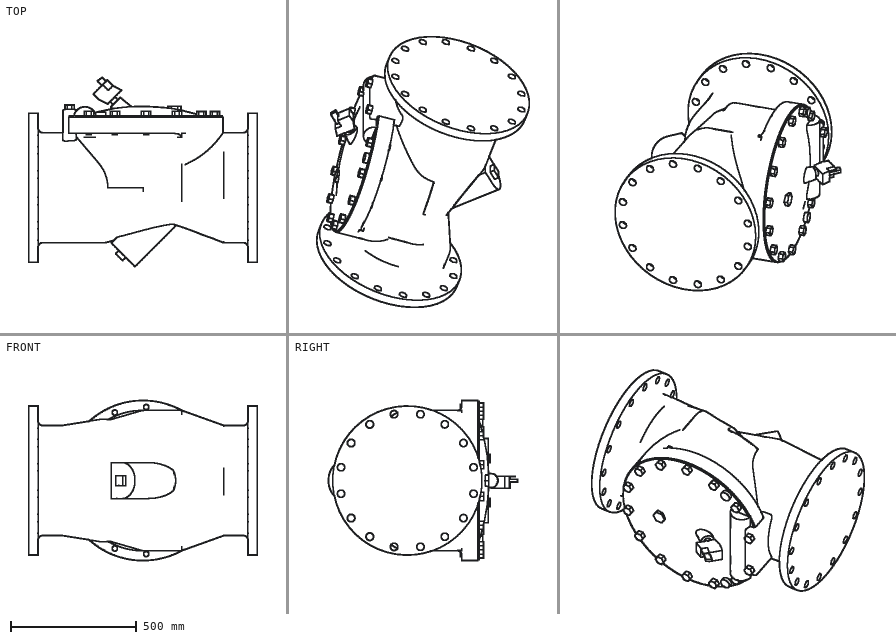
import cadquery as cq
import math


overall_length = 914.4
pipe_radius = 220.5
pipe_flange_radius = 298.5
pipe_flange_thickness = 38.0
pipe_flange_fillet = 18.0
pipe_bolt_circle_radius = 270.0
pipe_bolt_count = 16
pipe_bolt_hole_diameter = 29.0
half_length = overall_length / 2

taper_start_x = 323.0
inlet_belt_start = -168.0
inlet_belt_end = -152.0
inlet_half_height = 245.0
inlet_tip_x = 150.0
inlet_tip_half_width = 140.0
inlet_tip_half_height = 200.0
outlet_depth = 157.5
outlet_half_height = 281.0
outlet_middle_depth = 104.0
outlet_tip_x = -150.0
outlet_tip_depth = 2.0
outlet_side_y = 76.0
ledge_fillet = 12.0

cover_flange_radius = 641.17 / 2
cover_flange_bottom = 217.0
cover_flange_top = 281.5
cover_radius = 317.5
cover_top = 287.0
dome_radius = 240.0
dome_top = 326.0
neck_fillet = 15.0
neck_corner_radius = 57.0
cover_bolt_circle_radius = 294.0
cover_bolt_pitch = 25.0
cover_bolts_per_side = 6
cover_bolt_shank_diameter = 21.0
cover_bolt_protrusion = 6.0
bolt_head_diameter = 38.0
bolt_head_height = 18.0
jack_boss_angle = 125.0
jack_boss_radius = 20.0
jack_boss_height = 15.0
dome_plug_x = 126.0
dome_plug_diameter = 53.0
dome_plug_bottom = 310.0

hinge_x = -232.0
hinge_y = 279.0
hinge_radius = 45.0
hinge_half_length = 169.0
block_width = 54.0
block_half_height = 119.0
block_bottom = 150.0
block_top = 313.0
block_corner_radius = 12.0
block_rim_radius = 8.0
block_bolt_z = 88.0

stub_radius = 72.0
stub_lowest_y = -315.56
stub_face_x = -83.0
stub_length = 230.0
stub_web = 62.0
drain_plug_side = 40.0
drain_plug_height = 18.0

indicator_x = -90.0
indicator_y = 322.0
indicator_base_start = -30.0
indicator_base_end = 28.0
indicator_base_radius = 33.0
indicator_base_top_radius = 27.0
indicator_neck_radius = 14.0
indicator_shoulder = 45.0
indicator_box_start = 82.0
indicator_box_end = 114.0
indicator_box_half_width = 40.0
indicator_shoulder_right = 51.0
indicator_shoulder_left = 27.0
indicator_bottom_z = -31.0
indicator_depth = 49.0
indicator_lid_thickness = 2.0
indicator_case_right = 13.0
tab_left = 8.5
tab_right = 33.0
tab_end_drop = 5.0
tab_thickness = 12.0
highest_y = stub_lowest_y + 756.66

diagonal = math.sqrt(0.5)


def along_x(x, y=0.0):
    """Section plane across the pipe: local x is Y, local y is Z."""
    return cq.Workplane(cq.Plane((x, y, 0), (0, 1, 0), (1, 0, 0)))


def along_y(y, x=0.0, z=0.0):
    """Plane facing +Y: local x is X, local y is -Z."""
    return cq.Workplane(cq.Plane((x, y, z), (1, 0, 0), (0, 1, 0)))


def elliptic_loft(*sections):
    """Straight-sided loft through sections (x, half width in Y, half height in Z, centre Y)."""
    wires = []
    for x, half_width, half_height, centre_y in sections:
        outline = along_x(x, centre_y).ellipse(half_width, half_height)
        wires.append(outline.wire().wires().val())
    return cq.Workplane(cq.Solid.makeLoft(wires, True))


def pipe_end(side):
    """Pipe and bolted flange with a concave fillet, on the -X (side=-1) or +X (side=1) end."""
    flange_back = half_length - pipe_flange_thickness
    fillet_start = flange_back - pipe_flange_fillet
    fillet_centre_radius = pipe_radius + pipe_flange_fillet
    profile = (
        cq.Workplane("XY")
        .moveTo(side * taper_start_x, 0)
        .lineTo(side * taper_start_x, pipe_radius)
        .lineTo(side * fillet_start, pipe_radius)
        .threePointArc(
            (
                side * (fillet_start + pipe_flange_fillet * diagonal),
                fillet_centre_radius - pipe_flange_fillet * diagonal,
            ),
            (side * flange_back, fillet_centre_radius),
        )
        .lineTo(side * flange_back, pipe_flange_radius)
        .lineTo(side * half_length, pipe_flange_radius)
        .lineTo(side * half_length, 0)
        .close()
    )
    body = profile.revolve(360, (0, 0, 0), (1, 0, 0))
    holes = (
        along_x(side * half_length)
        .polarArray(pipe_bolt_circle_radius, 180 / pipe_bolt_count, 360, pipe_bolt_count)
        .circle(pipe_bolt_hole_diameter / 2)
        .extrude(-side * pipe_flange_thickness)
    )
    return body.cut(holes)


def inlet_chamber():
    return elliptic_loft(
        (-taper_start_x, pipe_radius, pipe_radius, 0),
        (inlet_belt_start, pipe_radius, inlet_half_height, 0),
        (inlet_belt_end, pipe_radius, inlet_half_height, 0),
        (inlet_tip_x, inlet_tip_half_width, inlet_tip_half_height, 0),
    )


def outlet_taper_start():
    """X where the flat sides of the outlet chamber meet the cover flange cylinder."""
    return math.sqrt(cover_flange_radius**2 - outlet_half_height**2)


def outlet_chamber():
    start_x = outlet_taper_start()
    tip_half_height = math.sqrt(outlet_half_height**2 - outlet_tip_x**2)
    pipe = (taper_start_x, pipe_radius, pipe_radius, 0)
    lower = elliptic_loft(
        (outlet_tip_x, outlet_tip_depth, tip_half_height, 0),
        (0, outlet_middle_depth, outlet_half_height, 0),
        (start_x, outlet_depth, outlet_half_height, 0),
        pipe,
    )
    upper_half_width = pipe_radius - outlet_side_y
    upper_taper = elliptic_loft((start_x, upper_half_width, outlet_half_height, outlet_side_y), pipe)
    wedge = (
        cq.Workplane("XY")
        .polyline([(start_x, 0), (taper_start_x, 0), (start_x, outlet_side_y)])
        .close()
        .extrude(outlet_half_height, both=True)
    )
    wedge_sides = (
        along_y(0)
        .polyline([
            (start_x, -outlet_half_height),
            (taper_start_x, -pipe_radius),
            (taper_start_x, pipe_radius),
            (start_x, outlet_half_height),
        ])
        .close()
        .extrude(outlet_side_y)
    )
    return lower.union(upper_taper).union(wedge.intersect(wedge_sides))


def neck():
    """Half-round on the -X side; on the +X side the cover flange cylinder with flattened sides."""
    start_x = outlet_taper_start()
    outline = (
        along_y(0)
        .moveTo(0, outlet_half_height)
        .threePointArc((-outlet_half_height, 0), (0, -outlet_half_height))
        .lineTo(start_x, -outlet_half_height)
        .threePointArc((cover_flange_radius, 0), (start_x, outlet_half_height))
        .close()
    )
    corners = outline.extrude(cover_flange_bottom).edges("|Y").edges(">X")
    return corners.fillet(neck_corner_radius)


def neck_fillet_profile():
    """Radial section of the concave fillet between the neck and the cover flange."""
    top = cover_flange_bottom
    wall = outlet_half_height
    return (
        cq.Workplane("XY")
        .moveTo(0, top - neck_fillet)
        .lineTo(wall, top - neck_fillet)
        .threePointArc(
            (wall + neck_fillet * (1 - diagonal), top - neck_fillet * (1 - diagonal)),
            (wall + neck_fillet, top),
        )
        .lineTo(0, top)
        .close()
    )


def neck_flange_fillet():
    """Fillet under the cover flange, round the half-round and along the flat sides."""
    ring = neck_fillet_profile().revolve(360, (0, 0, 0), (0, 1, 0))
    low_side = neck_fillet_profile().extrude(outlet_taper_start())
    low_side = low_side.rotate((0, 0, 0), (0, 1, 0), 90)
    fillet = ring.union(low_side).union(low_side.mirror("XY"))
    limit = along_y(0).circle(cover_flange_radius).extrude(cover_flange_bottom)
    return fillet.intersect(limit)


def cover():
    flange = along_y(cover_flange_bottom).circle(cover_flange_radius)
    flange = flange.extrude(cover_flange_top - cover_flange_bottom)
    plate = along_y(cover_flange_top).circle(cover_radius).extrude(cover_top - cover_flange_top)
    rise = dome_top - cover_top
    sphere_radius = (dome_radius**2 + rise**2) / (2 * rise)
    sphere = cq.Workplane("XY").sphere(sphere_radius).translate((0, dome_top - sphere_radius, 0))
    dome = sphere.intersect(along_y(cover_flange_top).circle(dome_radius).extrude(dome_top))
    plug = along_y(dome_plug_bottom, dome_plug_x).polygon(6, dome_plug_diameter)
    return flange.union(plate).union(dome).union(plug.extrude(dome_top - dome_plug_bottom))


def on_bolt_circle(degrees):
    angle = math.radians(degrees)
    return cover_bolt_circle_radius * math.cos(angle), cover_bolt_circle_radius * math.sin(angle)


def cover_bolts(body):
    shank_bottom = cover_flange_bottom - cover_bolt_protrusion
    for side in (-1, 1):
        for index in range(cover_bolts_per_side):
            x, z = on_bolt_circle(side * cover_bolt_pitch * (index + 0.5))
            head = along_y(cover_top, x, z).polygon(6, bolt_head_diameter).extrude(bolt_head_height)
            shank = along_y(shank_bottom, x, z).circle(cover_bolt_shank_diameter / 2)
            body = body.union(head).union(shank.extrude(cover_top - shank_bottom))
        x, z = on_bolt_circle(side * jack_boss_angle)
        body = body.union(along_y(cover_top, x, z).circle(jack_boss_radius).extrude(jack_boss_height))
    return body


def hinge():
    """Pin housing along Z and the bolted block beside it."""
    housing = cq.Workplane("XY").center(hinge_x, hinge_y).circle(hinge_radius)
    housing = housing.extrude(hinge_half_length, both=True)
    below_cover = along_y(cover_flange_top).rect(overall_length, overall_length)
    housing = housing.cut(below_cover.extrude(-overall_length))
    block_x = block_width / 2 - cover_flange_radius
    block = along_y(block_bottom, block_x).rect(block_width, 2 * block_half_height)
    block = block.extrude(block_top - block_bottom).edges("|Y").fillet(block_corner_radius)
    block = block.faces(">Y").edges().fillet(block_rim_radius)
    assembly = housing.union(block)
    for z in (-block_bolt_z, block_bolt_z):
        head = along_y(block_top, block_x, z).polygon(6, bolt_head_diameter)
        assembly = assembly.union(head.extrude(bolt_head_height))
    return assembly


def drain_stub():
    """D-shaped stub with a square plug on its face."""
    face_y = stub_lowest_y + stub_radius * diagonal
    face = cq.Workplane(cq.Plane((stub_face_x, face_y, 0), (-1, 1, 0), (-1, -1, 0)))
    stub = (
        face.moveTo(stub_web, stub_radius)
        .lineTo(0, stub_radius)
        .threePointArc((-stub_radius, 0), (0, -stub_radius))
        .lineTo(stub_web, -stub_radius)
        .close()
        .extrude(-stub_length)
    )
    plug = face.rect(drain_plug_side, drain_plug_side).extrude(drain_plug_height)
    return stub.union(plug)


def indicator():
    """Position indicator on the cover: tapered base, neck, flared housing and end tab."""
    axis = cq.Vector(-diagonal, diagonal, 0)
    foot = cq.Vector(indicator_x, indicator_y, 0)
    base = cq.Workplane(
        cq.Solid.makeCone(
            indicator_base_radius,
            indicator_base_top_radius,
            indicator_base_end - indicator_base_start,
            foot + axis * indicator_base_start,
            axis,
        )
    )
    neck_rod = cq.Workplane(
        cq.Solid.makeCylinder(indicator_neck_radius, indicator_box_start, foot, axis)
    )
    side_plane = cq.Plane(foot.toTuple(), (1, 1, 0), (0, 0, 1))
    left = -indicator_box_half_width
    flare = (
        cq.Workplane(side_plane)
        .workplane(offset=indicator_bottom_z)
        .polyline([
            (-indicator_shoulder_left, indicator_shoulder),
            (indicator_shoulder_right, indicator_shoulder),
            (indicator_box_half_width, indicator_box_start),
            (left, indicator_box_start),
        ])
        .close()
        .extrude(indicator_depth)
    )
    case = (
        cq.Workplane(side_plane)
        .workplane(offset=indicator_bottom_z)
        .moveTo(left, indicator_box_start)
        .lineTo(indicator_case_right, indicator_box_start)
        .lineTo(indicator_case_right, indicator_box_end)
        .lineTo(left, indicator_box_end)
        .close()
        .extrude(indicator_depth)
    )
    lid = (
        cq.Workplane(side_plane)
        .workplane(offset=indicator_bottom_z + indicator_depth - indicator_lid_thickness)
        .moveTo(left, indicator_box_start)
        .lineTo(indicator_box_half_width, indicator_box_start)
        .lineTo(indicator_box_half_width, indicator_box_end)
        .lineTo(left, indicator_box_end)
        .close()
        .extrude(indicator_lid_thickness)
    )
    tab_end = (highest_y - indicator_y) / diagonal - tab_right
    tab = (
        cq.Workplane(side_plane)
        .polyline([
            (tab_left, indicator_box_start),
            (tab_right, indicator_box_start),
            (tab_right, tab_end),
            (tab_left, tab_end + tab_end_drop),
        ])
        .close()
        .extrude(tab_thickness / 2, both=True)
    )
    return base.union(neck_rod).union(flare).union(case).union(lid).union(tab)


def chambers():
    """Both chambers and the neck, with a concave fillet along the slanted ledge between them."""
    joined = outlet_chamber().union(neck()).union(inlet_chamber())
    ledge_box = cq.selectors.BoxSelector(
        (outlet_tip_x, -outlet_depth, -outlet_half_height),
        (inlet_tip_x, -ledge_fillet, outlet_half_height),
    )
    return joined.edges("%BSPLINE").edges(ledge_box).fillet(ledge_fillet)


def valve():
    body = chambers().union(neck_flange_fillet()).union(drain_stub())
    body = body.union(pipe_end(-1)).union(pipe_end(1))
    return body.union(cover_bolts(cover().union(indicator()).union(hinge())))


result = valve()